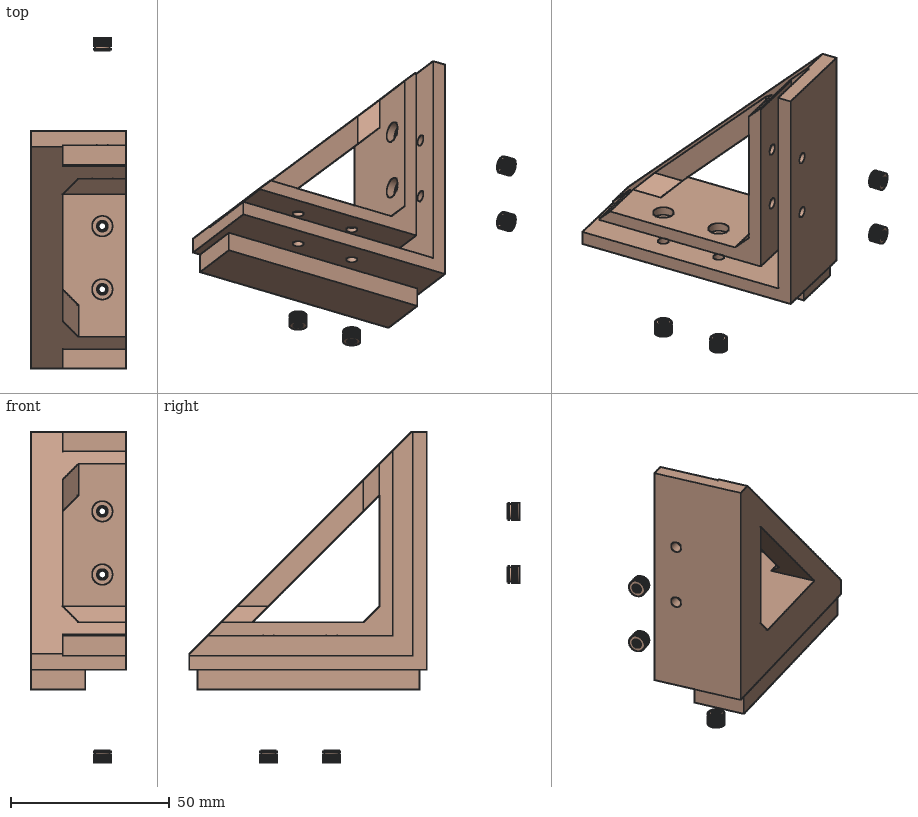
import cadquery as cq
import math

OVERALL = 104.3
WIDTH = 30.0
LEG_LENGTH = 75.0
INSERT_OFFSET = OVERALL - LEG_LENGTH

TIP_HEIGHT = 5.0
LEG_THICKNESS = 15.0
WEB_THICKNESS = 10.0
CORNER_CHAMFER = 5.0
GUSSET = 5.0
STRUT_WIDTH = 10.0

LIP_THICKNESS = 4.5
SLOT_THICKNESS = 6.3
SLOT_INNER = LIP_THICKNESS + SLOT_THICKNESS
JAW_SETBACK = 6.2

HOLE_X = 22.5
HOLE_DISTANCES = (30.0, 50.0)
HOLE_DIAMETER = 3.4
COUNTERBORE_DIAMETER = 6.5
COUNTERBORE_DEPTH = 2.8

BAR_WIDTH = 17.2
BAR_LENGTH = 70.1
BAR_SETBACK = 2.3

INSERT_DIAMETER = 5.5
KNURL_ROOT_DIAMETER = 5.0
INSERT_NECK_DIAMETER = 4.7
INSERT_BORE = 2.3
THREAD_ROOT_DIAMETER = 3.0
THREAD_RING_COUNT = 8
COLLAR_LENGTH = 0.6
KNURL_LENGTH = 2.0
GROOVE_LENGTH = 0.7
RING_LENGTH = 0.3
PILOT_LENGTH = 0.3
INSERT_LENGTH = COLLAR_LENGTH + KNURL_LENGTH + GROOVE_LENGTH + RING_LENGTH + PILOT_LENGTH
TOOTH_COUNT = 30


def prism(points, x_start, x_end):
    """Extrude an outline along X; points are (distance from back face, height)."""
    outline = [(-depth, height) for depth, height in points]
    plane = cq.Workplane("YZ", origin=(x_start, 0, 0))
    return plane.polyline(outline).close().extrude(x_end - x_start)


def inner_triangle(slope_sum):
    """Outline inside the legs, closed by the line depth + height = slope_sum."""
    far = slope_sum - LEG_THICKNESS
    chamfer_end = LEG_THICKNESS + CORNER_CHAMFER
    return [
        (chamfer_end, LEG_THICKNESS),
        (far, LEG_THICKNESS),
        (LEG_THICKNESS, far),
        (LEG_THICKNESS, chamfer_end),
    ]


def screw_hole(distance):
    """Counterbored through hole of the horizontal leg, entered from its top face."""
    hole = cq.Workplane("XY").center(HOLE_X, -distance).circle(HOLE_DIAMETER / 2).extrude(LEG_THICKNESS)
    seat = (
        cq.Workplane("XY", origin=(HOLE_X, -distance, LEG_THICKNESS))
        .circle(COUNTERBORE_DIAMETER / 2)
        .extrude(-COUNTERBORE_DEPTH)
    )
    return hole.union(seat)


def make_bracket():
    slope_sum = LEG_LENGTH + TIP_HEIGHT
    outline = [
        (0, 0),
        (LEG_LENGTH, 0),
        (LEG_LENGTH, TIP_HEIGHT),
        (TIP_HEIGHT, LEG_LENGTH),
        (0, LEG_LENGTH),
    ]
    envelope = prism(outline, 0, WIDTH)

    body = envelope.cut(prism(inner_triangle(slope_sum), WEB_THICKNESS, WIDTH))

    gusset_outline = [
        (WEB_THICKNESS, LEG_THICKNESS),
        (WEB_THICKNESS + GUSSET, LEG_THICKNESS),
        (WEB_THICKNESS, LEG_THICKNESS + GUSSET),
    ]
    lower_gusset = cq.Workplane("XZ").polyline(gusset_outline).close().extrude(LEG_LENGTH)
    upper_outline = [(x, -depth) for x, depth in gusset_outline]
    upper_gusset = cq.Workplane("XY").polyline(upper_outline).close().extrude(LEG_LENGTH)
    for gusset in (lower_gusset, upper_gusset):
        body = body.union(gusset.intersect(envelope))

    body = body.cut(prism(inner_triangle(slope_sum - STRUT_WIDTH), 0, WIDTH))

    slot = [
        (LIP_THICKNESS, LIP_THICKNESS),
        (LEG_LENGTH, LIP_THICKNESS),
        (LEG_LENGTH, SLOT_INNER),
        (SLOT_INNER, SLOT_INNER),
        (SLOT_INNER, LEG_LENGTH),
        (LIP_THICKNESS, LEG_LENGTH),
    ]
    body = body.cut(prism(slot, WEB_THICKNESS, WIDTH))

    jaw_end = LEG_LENGTH - JAW_SETBACK
    blunt_end = [
        (LIP_THICKNESS, jaw_end),
        (LEG_THICKNESS, jaw_end),
        (LEG_THICKNESS, LEG_LENGTH),
        (LIP_THICKNESS, LEG_LENGTH),
    ]
    swapped_end = [(height, depth) for depth, height in blunt_end]
    for end_outline in (blunt_end, swapped_end):
        body = body.cut(prism(end_outline, WEB_THICKNESS, WIDTH))

    for distance in HOLE_DISTANCES:
        hole = screw_hole(distance)
        turned_hole = hole.rotate((0, 0, 0), (1, 0, 0), 90).mirror("XY")
        body = body.cut(hole).cut(turned_hole)
    return body


def make_bar():
    """Plain bar that fits the slot, here lying under the horizontal leg."""
    bar_end_y = -(BAR_SETBACK + BAR_LENGTH)
    blank = cq.Workplane("XY").box(BAR_WIDTH, BAR_LENGTH, SLOT_THICKNESS, centered=False)
    return blank.translate((0, bar_end_y, -SLOT_THICKNESS))


def knurled_band(start, length):
    """Disc with straight pointed teeth around its rim."""
    points = []
    for step in range(2 * TOOTH_COUNT):
        radius = (INSERT_DIAMETER if step % 2 == 0 else KNURL_ROOT_DIAMETER) / 2
        angle = math.pi * step / TOOTH_COUNT
        points.append((radius * math.cos(angle), radius * math.sin(angle)))
    return cq.Workplane("XY", origin=(0, 0, start)).polyline(points).close().extrude(length)


def plain_band(start, length, diameter):
    return cq.Workplane("XY", origin=(0, 0, start)).circle(diameter / 2).extrude(length)


def threaded_bore():
    """Through bore with V-shaped ring grooves, as a solid of revolution about Z."""
    pitch = INSERT_LENGTH / THREAD_RING_COUNT
    profile = [(0, 0)]
    for ring in range(THREAD_RING_COUNT):
        profile.append((THREAD_ROOT_DIAMETER / 2, ring * pitch))
        profile.append((INSERT_BORE / 2, (ring + 0.5) * pitch))
    profile += [(THREAD_ROOT_DIAMETER / 2, INSERT_LENGTH), (0, INSERT_LENGTH)]
    return cq.Workplane("XZ").polyline(profile).close().revolve(360, (0, 0, 0), (0, 1, 0))


def make_insert():
    """Insert on the Z axis with its outer end at z = 0 and its pilot end up."""
    groove_start = COLLAR_LENGTH + KNURL_LENGTH
    ring_start = groove_start + GROOVE_LENGTH
    pilot_start = ring_start + RING_LENGTH
    insert = plain_band(0, COLLAR_LENGTH, INSERT_DIAMETER)
    insert = insert.union(knurled_band(COLLAR_LENGTH, KNURL_LENGTH))
    insert = insert.union(plain_band(groove_start, GROOVE_LENGTH, INSERT_NECK_DIAMETER))
    insert = insert.union(knurled_band(ring_start, RING_LENGTH))
    insert = insert.union(plain_band(pilot_start, PILOT_LENGTH, INSERT_NECK_DIAMETER))
    return insert.cut(threaded_bore())


bracket = make_bracket()
bar = make_bar()

upright_insert = make_insert()
level_insert = upright_insert.rotate((0, 0, 0), (1, 0, 0), 90)
inserts = []
for hole_distance in HOLE_DISTANCES:
    inserts.append(upright_insert.translate((HOLE_X, -hole_distance, -INSERT_OFFSET)))
    inserts.append(level_insert.translate((HOLE_X, INSERT_OFFSET, hole_distance)))

result = cq.Compound.makeCompound([bracket.val(), bar.val(), *[insert.val() for insert in inserts]])